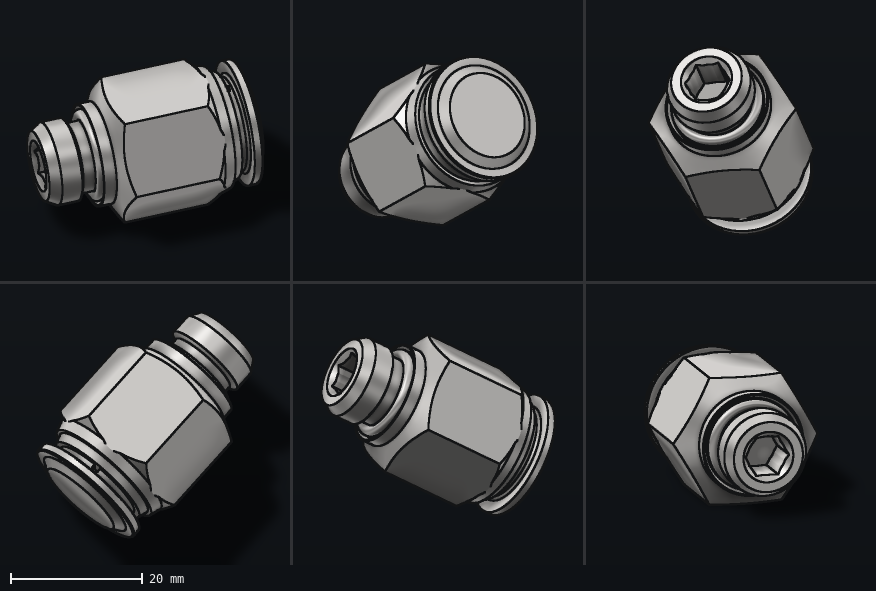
import cadquery as cq
import math

total_length = 34.0

tip_r = 5.5
thread_r = 6.53
tip_chamfer_end = 1.75
thread_end = 4.95
neck_start = 5.47

seat_r = 8.02
seat_start = 8.0
groove_mouth_r = 7.82
groove_floor_r = 7.2
ring_section_r = 0.85
ring_front = 7.2
ring_overlap = 0.05
ring_center_r = tip_r + ring_section_r - ring_overlap
ring_center_y = ring_front + ring_section_r
groove_floor_y = ring_center_y + ring_section_r - ring_overlap

hex_flats = 20.0
hex_corner_r = hex_flats / math.sqrt(3)
hex_start = 10.0
chamfer_angle = math.radians(30)
front_chamfer_end = hex_start + (hex_corner_r - seat_r) * math.tan(chamfer_angle)
rear_chamfer_start = 25.35
hex_end = 26.75
hex_end_r = 10.13

shoulder_end = 28.55
shoulder_end_r = 9.6
collar_start_r = 8.9
collar_end = 30.02
collar_end_r = 8.43

sleeve_r = 7.4
flare_start = 31.1
flange_start = 31.6
flare_r = sleeve_r + flange_start - flare_start
flange_r = 9.8
flange_end = 32.98
flange_edge = 0.17
cap_base_r = 8.25
cap_end_r = 6.73

slot_width = 1.05
slot_end = 30.67

socket_flats = 6.0
socket_bore_r = 3.05
socket_mouth_r = 3.98
socket_depth = 6.8
socket_chamfer = 0.92


def revolve_profile(points):
    """Revolve (radius, y) points, closed along the axis, about Y."""
    outline = [(0, points[0][1]), *points, (0, points[-1][1])]
    return cq.Workplane("XY").polyline(outline).close().revolve(360, (0, 0), (0, 1))


def hex_prism(flats, start, end):
    """Hexagonal prism along Y with corners on the X axis."""
    corner_diameter = 2 * flats / math.sqrt(3)
    plane = cq.Workplane("XZ", origin=(0, start, 0))
    return plane.polygon(6, corner_diameter).extrude(start - end)


def front_stem():
    stem = revolve_profile([
        (tip_r, 0),
        (thread_r, tip_chamfer_end),
        (thread_r, thread_end),
        (tip_r, neck_start),
        (tip_r, seat_start),
        (seat_r, seat_start),
        (seat_r, hex_start),
    ])
    groove = revolve_profile([
        (groove_mouth_r, seat_start),
        (groove_floor_r, groove_floor_y),
    ])
    neck = revolve_profile([(tip_r, neck_start), (tip_r, hex_start)])
    return stem.cut(groove.cut(neck))


def seal_ring():
    section = cq.Workplane("XY").center(ring_center_r, ring_center_y).circle(ring_section_r)
    return section.revolve(360, (-ring_center_r, 0), (-ring_center_r, 1))


def hex_body():
    chamfer_envelope = revolve_profile([
        (seat_r, hex_start),
        (hex_corner_r, front_chamfer_end),
        (hex_corner_r, rear_chamfer_start),
        (hex_end_r, hex_end),
        (shoulder_end_r, shoulder_end),
    ])
    return hex_prism(hex_flats, hex_start, shoulder_end).intersect(chamfer_envelope)


def release_end():
    rear = revolve_profile([
        (collar_start_r, shoulder_end),
        (collar_end_r, collar_end),
        (sleeve_r, collar_end),
        (sleeve_r, flare_start),
        (flare_r, flange_start),
        (flange_r, flange_start),
        (flange_r, flange_end - flange_edge),
        (flange_r - flange_edge, flange_end),
        (cap_base_r, flange_end),
        (cap_end_r, total_length),
    ])
    slot_length = slot_end - collar_end
    slot = cq.Workplane("XY").box(slot_width, slot_length, 2 * flange_r)
    return rear.cut(slot.translate((0, collar_end + slot_length / 2, 0)))


def socket():
    bore = revolve_profile([(socket_bore_r, 0), (socket_bore_r, socket_depth)])
    mouth = revolve_profile([(socket_mouth_r, 0), (socket_bore_r, socket_chamfer)])
    return hex_prism(socket_flats, 0, socket_depth).union(bore).union(mouth)


result = front_stem().union(seal_ring()).union(hex_body()).union(release_end()).cut(socket())